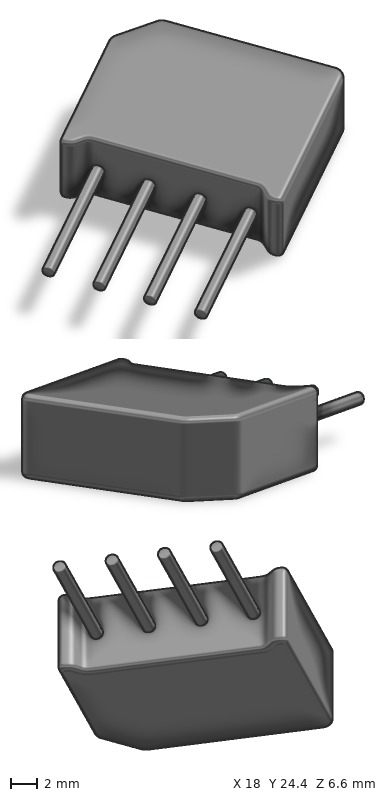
import cadquery as cq

body_width = 18.0
body_height = 14.4
body_depth = 6.6
corner_chamfer = 3.0

recess_depth = 1.0
foot_width = 1.0
recess_inset = foot_width + recess_depth

corner_radius = 1.0
foot_tip_radius = 0.51
rim_radius = 0.5

lead_count = 4
lead_pitch = 4.1
lead_diameter = 1.0
lead_length = 10.0
lead_tip_radius = 0.1
lead_embedment = 2.45

half_width = body_width / 2


def edges_at(body, points):
    """Select the Z-parallel edges standing on the given outline points."""
    nearest = cq.selectors.NearestToPointSelector
    return body.newObject([body.edges(nearest((x, y, 0))).val() for x, y in points])


def make_body():
    """Block with one cut corner, two feet below and all edges rounded; the feet stand on Y = 0."""
    foot_tips = [(-half_width, 0), (half_width, 0)]
    outline = [
        foot_tips[0],
        (-half_width + foot_width, 0),
        (-half_width + recess_inset, recess_depth),
        (half_width - recess_inset, recess_depth),
        (half_width - foot_width, 0),
        foot_tips[1],
        (half_width, body_height),
        (-half_width + corner_chamfer, body_height),
        (-half_width, body_height - corner_chamfer),
    ]
    other_corners = [point for point in outline if point not in foot_tips]
    body = cq.Workplane("XY").polyline(outline).close().extrude(body_depth / 2, both=True)
    body = edges_at(body, other_corners).fillet(corner_radius)
    body = edges_at(body, foot_tips).fillet(foot_tip_radius)
    return body.faces("|Z").edges().fillet(rim_radius)


def make_lead(x):
    """Round lead along Y with a rounded tip edge, anchored inside the body."""
    return (
        cq.Workplane("XZ", origin=(x, lead_embedment, 0))
        .circle(lead_diameter / 2)
        .extrude(lead_embedment + lead_length)
        .faces("<Y")
        .edges()
        .fillet(lead_tip_radius)
    )


result = make_body()
for index in range(lead_count):
    lead_x = (index - (lead_count - 1) / 2) * lead_pitch
    result = result.union(make_lead(lead_x))